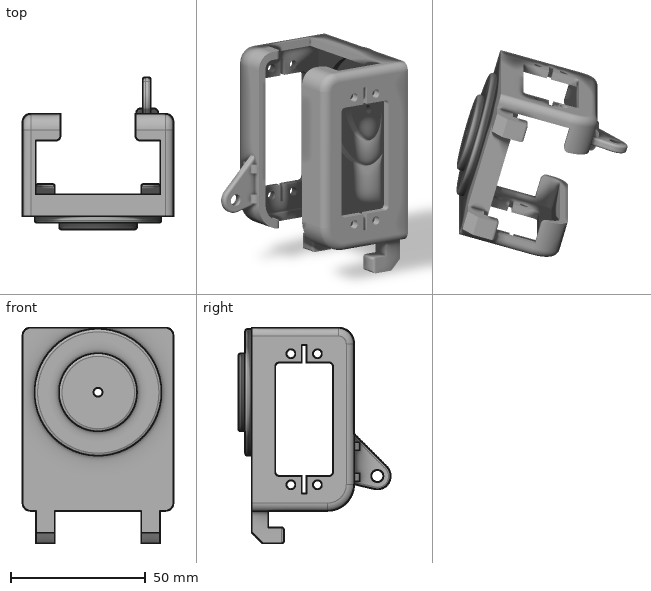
import cadquery as cq
import math

width = 56.0
depth = 38.0
height = 68.0
foot_height = 12.0
wall = 3.0
edge_round = 3.0
top_round = 6.0
bottom_round = 10.0
mid_z = foot_height + height / 2

passage_half_width = 23.0
passage_front = 8.2
passage_back = 28.0
back_slot_half_width = 13.8
lip_round = 2.0

window_y = 19.4
window_width = 21.4
window_height = 42.0
window_round = 1.5
slit_width = 1.6
slit_length = 55.0
screw_diameter = 3.2
screw_pitch_y = 9.8
screw_pitch_z = 48.6

boss_z = 56.0
boss_steps = [(47.0, 2.5), (29.0, 5.0)]
boss_round = 1.0
boss_hole_diameter = 3.2

foot_width = 7.0
foot_leg_depth = 6.2
foot_reach = 12.0
toe_height = 5.9
foot_bevel = 4.0
toe_round = 1.0

lug_x = 18.1
lug_thickness = 3.0
lug_eye_y = 46.6
lug_eye_z = 25.0
lug_radius = 5.0
lug_hole_diameter = 4.4
lug_upper_slope = math.radians(45)
lug_lower_slope = math.radians(13)
lug_edge_round = 0.9
lug_root = wall / 2

rib_x = 18.2
rib_width = 8.3
rib_reach = 2.0
rib_thickness = 3.0
rib_round = 1.9
rib_centres_z = [24.6, 36.0]


def rounded_block(inset):
    """Housing block shrunk by `inset` on every side, its back edges rounded."""
    block = cq.Workplane("XY").box(width - 2 * inset, depth - 2 * inset, height - 2 * inset)
    block = block.translate((0, depth / 2, mid_z))
    block = block.edges(">Y and >Z").fillet(top_round - inset)
    return block.edges(">Y and <Z").fillet(bottom_round - inset)


def boss_cylinder(diameter, start_y, end_y):
    """Cylinder on the boss axis, from start_y forward to end_y."""
    plane = cq.Workplane("XZ", origin=(0, start_y, boss_z))
    return plane.circle(diameter / 2).extrude(start_y - end_y)


def make_shell():
    """Hollow housing with the stepped boss, hollowed to the same wall thickness."""
    outside = rounded_block(0)
    outside = outside.faces("<X or >X").edges("not <Y").fillet(edge_round)
    cavity = rounded_block(wall)
    for diameter, reach in boss_steps:
        step = boss_cylinder(diameter, wall / 2, -reach).faces("<Y").edges().fillet(boss_round)
        outside = outside.union(step)
        cavity = cavity.union(boss_cylinder(diameter - 2 * wall, 2 * wall, wall - reach))
    deepest_reach = boss_steps[-1][1]
    boss_hole = boss_cylinder(boss_hole_diameter, wall, -deepest_reach)
    return outside.cut(cavity).cut(boss_hole)


def make_passage():
    """T-shaped vertical passage, rounded where it meets the back slot."""
    main = (
        cq.Workplane("XY")
        .rect(2 * passage_half_width, passage_back - passage_front)
        .extrude(foot_height + height)
        .translate((0, (passage_front + passage_back) / 2, 0))
    )
    slot = (
        cq.Workplane("XY")
        .rect(2 * back_slot_half_width, depth)
        .extrude(foot_height + height)
        .translate((0, passage_front + depth / 2, 0))
    )
    lip_corners = cq.selectors.BoxSelector(
        (-back_slot_half_width - lip_round, passage_back - lip_round, 0),
        (back_slot_half_width + lip_round, passage_back + lip_round, foot_height + height),
    )
    return main.union(slot).edges("|Z").edges(lip_corners).fillet(lip_round)


def make_side_cutouts():
    """Window, slits and screw holes, running through both side walls."""
    plane = cq.Workplane("YZ", origin=(-width / 2, window_y, mid_z))
    window = plane.rect(window_width, window_height).extrude(width).edges("|X").fillet(window_round)
    slits = plane.rect(slit_width, slit_length).extrude(width)
    screws = (
        plane.rect(screw_pitch_y, screw_pitch_z, forConstruction=True)
        .vertices()
        .circle(screw_diameter / 2)
        .extrude(width)
    )
    return window.union(slits).union(screws)


def make_foot(left_x):
    """Hook foot under the front wall, its toe pointing back and rounded at the tip."""
    foot = (
        cq.Workplane("YZ", origin=(left_x, 0, 0))
        .moveTo(0, foot_bevel)
        .lineTo(foot_bevel, 0)
        .lineTo(foot_reach, 0)
        .lineTo(foot_reach, toe_height)
        .lineTo(foot_leg_depth, toe_height)
        .lineTo(foot_leg_depth, foot_height + wall / 2)
        .lineTo(0, foot_height + wall / 2)
        .close()
        .extrude(foot_width)
    )
    return foot.faces(">Y").edges().fillet(toe_round)


def make_lug():
    """Flat lug tapering from the back wall to a round eye, braced by two cross ribs."""
    root_y = depth - lug_root
    upper_y = lug_eye_y + lug_radius * math.sin(lug_upper_slope)
    upper_z = lug_eye_z + lug_radius * math.cos(lug_upper_slope)
    lower_y = lug_eye_y - lug_radius * math.sin(lug_lower_slope)
    lower_z = lug_eye_z - lug_radius * math.cos(lug_lower_slope)
    root_top_z = upper_z + (upper_y - root_y) * math.tan(lug_upper_slope)
    root_bottom_z = lower_z + (lower_y - root_y) * math.tan(lug_lower_slope)
    lug = (
        cq.Workplane("YZ", origin=(lug_x - lug_thickness / 2, 0, 0))
        .moveTo(root_y, root_top_z)
        .lineTo(upper_y, upper_z)
        .threePointArc((lug_eye_y + lug_radius, lug_eye_z), (lower_y, lower_z))
        .lineTo(root_y, root_bottom_z)
        .close()
        .extrude(lug_thickness)
    )
    lug = lug.faces("<X or >X").edges("not <Y").fillet(lug_edge_round)
    for rib_z in rib_centres_z:
        rib = cq.Workplane("XY").box(rib_width, rib_reach + lug_root, rib_thickness)
        rib = rib.edges("|Z and >Y").fillet(rib_round)
        lug = lug.union(rib.translate((rib_x, root_y + (rib_reach + lug_root) / 2, rib_z)))
    eye = (
        cq.Workplane("YZ", origin=(lug_x - lug_thickness, lug_eye_y, lug_eye_z))
        .circle(lug_hole_diameter / 2)
        .extrude(2 * lug_thickness)
    )
    return lug.cut(eye)


result = make_shell().cut(make_passage()).cut(make_side_cutouts())
for foot_left_x in (-passage_half_width, passage_half_width - foot_width):
    result = result.union(make_foot(foot_left_x))
result = result.union(make_lug())